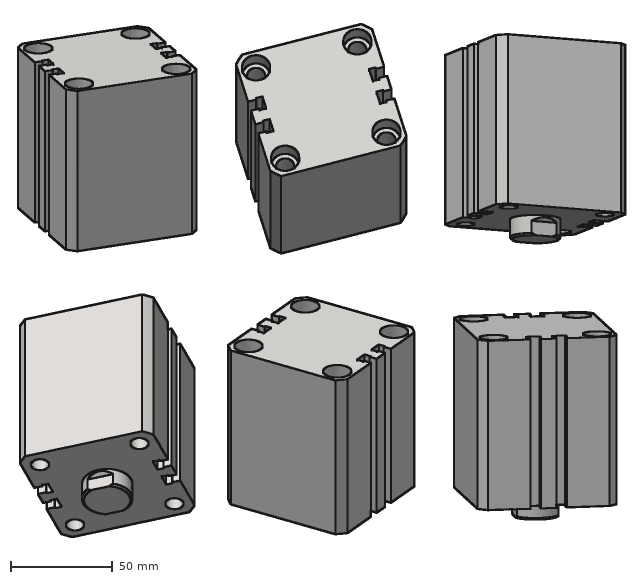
import cadquery as cq
import math

side = 70.0
total_height = 95.0
rod_length = 10.0
housing_height = total_height - rod_length
corner_trim = 4.4

hole_spacing = 52.1
hole_diameter = 9.0
counterbore_diameter = 14.0
counterbore_depth = 9.0

slot_spacing = 13.0
slot_mouth_width = 5.2
slot_inner_width = 6.8
slot_depth = 7.6
slot_mouth_depth = 4.3

rod_diameter = 25.0
rod_chamfer = 1.0
flats_width = 21.0
flat_start = 2.9
flat_run_out = (rod_diameter - flats_width) / 2


def make_block():
    """Square block whose corners are turned to a cylinder about the Z axis."""
    corner_radius = math.hypot(side / 2, side / 2 - corner_trim)
    block = cq.Workplane("XY").rect(side, side).extrude(housing_height)
    envelope = cq.Workplane("XY").circle(corner_radius).extrude(housing_height)
    return block.intersect(envelope)


def cut_mounting_holes(block):
    """Four through holes, counterbored from the top."""
    return (
        block.faces(">Z")
        .workplane(origin=(0, 0, housing_height))
        .rect(hole_spacing, hole_spacing, forConstruction=True)
        .vertices()
        .cboreHole(hole_diameter, counterbore_diameter, counterbore_depth)
    )


def make_slot(x, face_sign):
    """Tool body of one T-slot at the given X, on the +Y (1) or -Y (-1) face."""
    face_y = face_sign * side / 2
    mouth_end_y = face_y - face_sign * slot_mouth_depth
    floor_y = face_y - face_sign * slot_depth
    half_mouth = slot_mouth_width / 2
    half_inner = slot_inner_width / 2
    return (
        cq.Workplane("XY")
        .moveTo(x - half_mouth, face_y)
        .lineTo(x - half_mouth, mouth_end_y)
        .lineTo(x - half_inner, mouth_end_y)
        .lineTo(x - half_inner, floor_y)
        .lineTo(x + half_inner, floor_y)
        .lineTo(x + half_inner, mouth_end_y)
        .lineTo(x + half_mouth, mouth_end_y)
        .lineTo(x + half_mouth, face_y)
        .close()
        .extrude(housing_height)
    )


def make_housing():
    """Block with its mounting holes and T-slots."""
    body = cut_mounting_holes(make_block())
    for face_sign in (-1, 1):
        for x in (-slot_spacing / 2, slot_spacing / 2):
            body = body.cut(make_slot(x, face_sign))
    return body


def make_rod():
    """Chamfered round end, narrowed by two flats that face -X and +X."""
    radius = rod_diameter / 2
    half_flats = flats_width / 2
    slope_start = flat_start - flat_run_out
    end = (
        cq.Workplane("XY")
        .circle(radius)
        .extrude(-rod_length)
        .faces("<Z")
        .chamfer(rod_chamfer)
    )
    flats_profile = (
        cq.Workplane("XZ")
        .moveTo(-radius, 0)
        .lineTo(-radius, -slope_start)
        .lineTo(-half_flats, -flat_start)
        .lineTo(-half_flats, -rod_length)
        .lineTo(half_flats, -rod_length)
        .lineTo(half_flats, -flat_start)
        .lineTo(radius, -slope_start)
        .lineTo(radius, 0)
        .close()
        .extrude(radius, both=True)
    )
    return end.intersect(flats_profile)


housing = make_housing()
rod = make_rod()

result = cq.Compound.makeCompound([housing.val(), rod.val()])